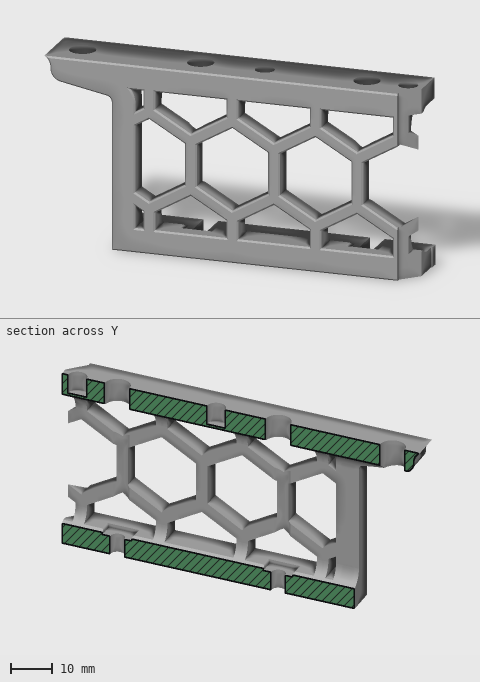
import cadquery as cq
import math

height = 47.0
depth = 15.0
overall_length = 93.71
tip_x = -17.0
toe_x = overall_length + tip_x
toe_length = 0.3
toe_depth = 2.4
end_x = toe_x - toe_length

web_thickness = 5.0
bottom_flange = 5.0
top_flange = 5.25
flange_fillet = 4.75
edge_chamfer = 0.4

nose_x = -15.5
nose_arc_end_z = 44.1
nose_radius = 3.2
underside_z = 38.4
underside_angle = math.radians(10.8)
nose_root_radius = 1.5

front_end_x = 72.2
bevel_start_y = 1.3
bevel_size = end_x - front_end_x

cell_width = 18.0
cell_pitch = 21.0
row_pitch = cell_pitch * math.sqrt(3) / 2
first_rib_x = 20.0
middle_row_cells = 4
outer_row_cells = 5
grid_left = 6.0
grid_margin = 6.1
grid_corner_radius = 6.0
grid_corner_z = 37.3

hole_y = depth / 2
access_diameter = 6.5
nose_hole_x = -9.8
slot_xs = [first_rib_x, first_rib_x + 2 * cell_pitch]
small_diameter = 4.8
small_xs = [36.2, 72.4]
small_depth = 5.0
slot_width = 3.7
head_recess_width = 7.6
head_recess_rim = 0.5
head_recess_front_y = 3.9

stock_allowance = 10.0
stock_x = end_x + stock_allowance
grid_right = end_x + stock_allowance / 2


def side_profile():
    """Post, top flange and curved nose, extruded over the full depth."""
    slope = math.tan(underside_angle)
    corner_z = underside_z - nose_x * slope
    corner_turn = math.pi / 2 - underside_angle
    tangent = nose_radius * math.tan(corner_turn / 2)
    arc_top = (nose_x, corner_z + tangent)
    arc_end = (
        nose_x + tangent * math.cos(underside_angle),
        corner_z - tangent * math.sin(underside_angle),
    )
    body = (
        cq.Workplane("XZ")
        .moveTo(0, 0)
        .lineTo(stock_x, 0)
        .lineTo(stock_x, height)
        .lineTo(tip_x, height)
        .radiusArc((nose_x, nose_arc_end_z), nose_radius)
        .lineTo(*arc_top)
        .tangentArcPoint(arc_end, relative=False)
        .lineTo(0, underside_z)
        .close()
        .extrude(-depth)
    )
    nose_root = cq.selectors.NearestToPointSelector((0, depth / 2, underside_z))
    return body.edges("|Y").edges(nose_root).fillet(nose_root_radius)


def grid_region():
    """Area inside the frame that the honeycomb may open, rounded beside the nose."""
    top = height - grid_margin
    rise = top - grid_corner_z
    setback = grid_corner_radius - math.sqrt(grid_corner_radius**2 - rise**2)
    return (
        cq.Workplane("XZ")
        .moveTo(grid_left, grid_margin)
        .lineTo(grid_right, grid_margin)
        .lineTo(grid_right, top)
        .lineTo(grid_left - setback, top)
        .radiusArc((grid_left, grid_corner_z), grid_corner_radius)
        .close()
        .extrude(-depth)
    )


def hexagon_cells():
    """Hexagonal prisms, points up, in three staggered rows."""
    corner_radius = cell_width / math.sqrt(3)
    corners = [
        (corner_radius * math.sin(i * math.pi / 3), corner_radius * math.cos(i * math.pi / 3))
        for i in range(6)
    ]
    cell = cq.Workplane("XZ").polyline(corners).close().extrude(-depth).val()
    middle_row = [(first_rib_x + (i - 0.5) * cell_pitch, 0) for i in range(middle_row_cells)]
    outer_rows = [
        (first_rib_x + (i - 1) * cell_pitch, side * row_pitch)
        for i in range(outer_row_cells)
        for side in (-1, 1)
    ]
    cells = cq.Workplane("XY")
    for x, z in middle_row + outer_rows:
        cells = cells.add(cell.translate(cq.Vector(x, 0, height / 2 + z)))
    return cells.combine()


def rear_pocket():
    """Space behind the web and between the flanges, with filleted inner corners."""
    pocket_height = height - bottom_flange - top_flange
    pocket_length = stock_x - tip_x
    return (
        cq.Workplane("XY", origin=(tip_x, web_thickness, bottom_flange))
        .box(pocket_length, depth, pocket_height, centered=False)
        .edges("|X and <Y")
        .fillet(flange_fillet)
    )


def right_end_cut():
    """Removes the stock beyond the end face and the bevelled front corner."""
    return (
        cq.Workplane("XY")
        .moveTo(front_end_x, 0)
        .lineTo(front_end_x, bevel_start_y)
        .lineTo(end_x, bevel_start_y + bevel_size)
        .lineTo(end_x, depth)
        .lineTo(stock_x, depth)
        .lineTo(stock_x, 0)
        .close()
        .extrude(height)
    )


def toe():
    """Small step on the end of the bottom flange, along its rear edge."""
    return cq.Workplane("XY", origin=(end_x, depth - toe_depth, 0)).box(
        toe_length, toe_depth, bottom_flange, centered=False
    )


def vertical_holes(xs, diameter, bottom_z):
    """Round holes sunk from the top face down to bottom_z."""
    return (
        cq.Workplane("XY", origin=(0, hole_y, bottom_z))
        .pushPoints([(x, 0) for x in xs])
        .circle(diameter / 2)
        .extrude(height - bottom_z)
    )


def screw_slot(x):
    """Slot through the bottom flange, from a round end below the access hole to the rear face."""
    radius = slot_width / 2
    return (
        cq.Workplane("XY", origin=(x, hole_y, 0))
        .moveTo(radius, depth - hole_y)
        .lineTo(radius, 0)
        .threePointArc((0, -radius), (-radius, 0))
        .lineTo(-radius, depth - hole_y)
        .close()
        .extrude(bottom_flange)
    )


def head_relief(x):
    """Clears the fillet around a slot for a screw head, with rims rounded over at both sides."""
    half_width = head_recess_width / 2
    rim_half_width = half_width + head_recess_rim
    rim_start_z = grid_margin - head_recess_rim
    top_z = bottom_flange + flange_fillet
    return (
        cq.Workplane("XZ", origin=(x, head_recess_front_y, 0))
        .moveTo(-half_width, bottom_flange)
        .lineTo(half_width, bottom_flange)
        .lineTo(half_width, rim_start_z)
        .radiusArc((rim_half_width, grid_margin), head_recess_rim)
        .lineTo(rim_half_width, top_z)
        .lineTo(-rim_half_width, top_z)
        .lineTo(-rim_half_width, grid_margin)
        .radiusArc((-half_width, rim_start_z), head_recess_rim)
        .close()
        .extrude(head_recess_front_y - depth)
    )


frame = side_profile().cut(grid_region().intersect(hexagon_cells()))
frame = frame.faces("<Y").edges().chamfer(edge_chamfer)
frame = frame.cut(rear_pocket()).cut(right_end_cut()).union(toe())
frame = frame.cut(vertical_holes([nose_hole_x] + slot_xs, access_diameter, bottom_flange))
frame = frame.cut(vertical_holes(small_xs, small_diameter, height - small_depth))
for slot_x in slot_xs:
    frame = frame.cut(screw_slot(slot_x)).cut(head_relief(slot_x))

result = frame